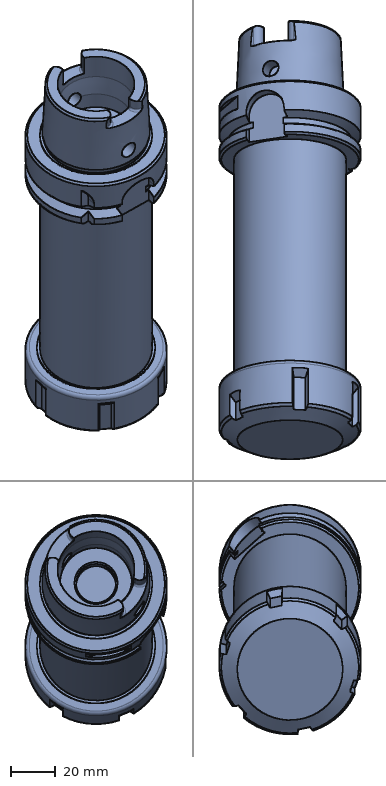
import cadquery as cq

total_height = 192.0
body_radius = 31.5
shank_radius = 25.0

nut_top = 26.0
nut_round = 1.7
nut_face_radius = 23.5
nut_cone_top = 3.8
nut_cone_radius = 30.5
nut_wall_bottom = 5.2
nut_recess_radius = 26.3
nut_recess_depth = 0.5

groove_count = 6
short_groove = 4
groove_floor_distance = 28.8
groove_floor_width = 5.2
groove_mouth_width = 7.3
groove_floor_top = 18.5
groove_mouth_top = 22.0
short_groove_drop = 7.0
groove_overshoot = 2.0

flange_bottom = 134.0
flange_top = 160.0
flange_chamfer = 1.0
gripper_radius = 27.5
gripper_mouth = (138.6, 145.5)
gripper_floor = (140.5, 143.2)
face_recess_radius = 25.0
face_recess_depth = 0.5

drive_slot_width = 18.0
drive_slot_floor = 26.5
drive_slot_top = 155.5

notch_corner = 20.2
notch_runout_start = 148.0
notch_runout_radius = 9.0
flat_distance = 29.8
flat_bottom = 150.1
flat_top = 156.0
flat_angle = 135

taper_base_radius = 24.0
taper_top_radius = 22.7
taper_rim_chamfer = 1.0
undercut_top = 161.9
undercut_radius = 23.5
bore_radius = 17.0
bore_throat_radius = 16.0
bore_cone_top = 179.5
bore_cone_bottom = 169.7
bore_floor = 161.3
coolant_radius = 9.6
coolant_chamfer = 0.8
coolant_depth = 5.8

keyway_width = 12.0
keyway_mouth_round = 3.5
keyway_mouth_start = 16.9
keyway_floor_round = 1.0
keyway_floors = {-1: 182.0, 1: 186.2}

cross_hole_radius = 3.75
cross_hole_height = 169.0

cut_reach = 38.4


def make_body():
    """Revolve the whole outer profile from the nut's face to the taper's rim."""
    nut_shoulder = body_radius - nut_round
    return (
        cq.Workplane("XZ")
        .moveTo(0, 0)
        .lineTo(nut_face_radius, 0)
        .lineTo(nut_cone_radius, nut_cone_top)
        .lineTo(body_radius, nut_wall_bottom)
        .lineTo(body_radius, nut_top - nut_round)
        .radiusArc((nut_shoulder, nut_top), -nut_round)
        .lineTo(nut_recess_radius, nut_top)
        .lineTo(nut_recess_radius, nut_top - nut_recess_depth)
        .lineTo(shank_radius, nut_top - nut_recess_depth)
        .lineTo(shank_radius, flange_bottom)
        .lineTo(body_radius - flange_chamfer, flange_bottom)
        .lineTo(body_radius, flange_bottom + flange_chamfer)
        .lineTo(body_radius, gripper_mouth[0])
        .lineTo(gripper_radius, gripper_floor[0])
        .lineTo(gripper_radius, gripper_floor[1])
        .lineTo(body_radius, gripper_mouth[1])
        .lineTo(body_radius, flange_top - flange_chamfer)
        .lineTo(body_radius - flange_chamfer, flange_top)
        .lineTo(face_recess_radius, flange_top)
        .lineTo(face_recess_radius, flange_top - face_recess_depth)
        .lineTo(undercut_radius, flange_top - face_recess_depth)
        .lineTo(undercut_radius, flange_top)
        .lineTo(taper_base_radius, undercut_top)
        .lineTo(taper_top_radius, total_height - taper_rim_chamfer)
        .lineTo(taper_top_radius - taper_rim_chamfer, total_height)
        .lineTo(0, total_height)
        .close()
        .revolve(360, (0, 0, 0), (0, 1, 0))
    )


def make_bore():
    """Stepped blind bore entering from the taper's rim."""
    return (
        cq.Workplane("XZ")
        .moveTo(0, bore_floor - coolant_depth)
        .lineTo(coolant_radius - coolant_chamfer, bore_floor - coolant_depth)
        .lineTo(coolant_radius - coolant_chamfer, bore_floor - coolant_chamfer)
        .lineTo(coolant_radius, bore_floor)
        .lineTo(bore_throat_radius, bore_floor)
        .lineTo(bore_throat_radius, bore_cone_bottom)
        .lineTo(bore_radius, bore_cone_top)
        .lineTo(bore_radius, total_height)
        .lineTo(0, total_height)
        .close()
        .revolve(360, (0, 0, 0), (0, 1, 0))
    )


def make_spanner_groove(drop):
    """Groove on the +X side whose side walls and upper end flare outwards."""
    def section(distance, width, top):
        return (
            cq.Workplane("YZ", origin=(distance, 0, top / 2))
            .rect(width, top)
            .wires()
            .val()
        )

    depth = body_radius - groove_floor_distance
    outer_width = groove_floor_width + groove_overshoot * (groove_mouth_width - groove_floor_width)
    outer_top = groove_floor_top + groove_overshoot * (groove_mouth_top - groove_floor_top)
    inner = section(groove_floor_distance, groove_floor_width, groove_floor_top - drop)
    outer = section(groove_floor_distance + groove_overshoot * depth, outer_width, outer_top - drop)
    return cq.Workplane(cq.Solid.makeLoft([inner, outer], True))


def make_drive_slot(side):
    """Flat-floored slot with a round upper end, open through the flange's underside."""
    half_width = drive_slot_width / 2
    spring_line = drive_slot_top - half_width
    return (
        cq.Workplane("YZ", origin=(side * drive_slot_floor, 0, 0))
        .moveTo(-half_width, flange_bottom)
        .lineTo(half_width, flange_bottom)
        .lineTo(half_width, spring_line)
        .threePointArc((0, drive_slot_top), (-half_width, spring_line))
        .close()
        .extrude(side * cut_reach)
    )


def make_notch():
    """Right-angled notch whose floor curves outwards at its upper end."""
    runout_end = notch_runout_start + notch_runout_radius
    return (
        cq.Workplane("YZ", origin=(notch_corner, 0, 0))
        .moveTo(-notch_corner, flange_bottom)
        .lineTo(-notch_corner, notch_runout_start)
        .radiusArc((-notch_corner - notch_runout_radius, runout_end), -notch_runout_radius)
        .lineTo(-cut_reach, runout_end)
        .lineTo(-cut_reach, flange_bottom)
        .close()
        .extrude(cut_reach)
    )


def make_flat():
    """Chordal flat on the outside of the flange."""
    height = flat_top - flat_bottom
    return (
        cq.Workplane("XY", origin=(0, 0, flat_bottom))
        .rect(cut_reach, 2 * cut_reach)
        .extrude(height)
        .translate((flat_distance + cut_reach / 2, 0, 0))
        .rotate((0, 0, 0), (0, 0, 1), flat_angle)
    )


def make_keyway(floor):
    """Keyway on the +X side with a rounded mouth and a filleted floor."""
    half_width = keyway_width / 2
    flare_x = keyway_mouth_start + keyway_mouth_round
    flare_y = half_width + keyway_mouth_round
    return (
        cq.Workplane("XY", origin=(0, 0, floor))
        .moveTo(0, -half_width)
        .lineTo(keyway_mouth_start, -half_width)
        .radiusArc((flare_x, -flare_y), keyway_mouth_round)
        .lineTo(flare_x, -cut_reach)
        .lineTo(cut_reach, -cut_reach)
        .lineTo(cut_reach, cut_reach)
        .lineTo(flare_x, cut_reach)
        .lineTo(flare_x, flare_y)
        .radiusArc((keyway_mouth_start, half_width), keyway_mouth_round)
        .lineTo(0, half_width)
        .close()
        .extrude(total_height - floor)
        .faces("<Z")
        .edges()
        .fillet(keyway_floor_round)
    )


def make_cross_hole():
    """Round hole along X through both walls of the hollow taper."""
    return (
        cq.Workplane("YZ", origin=(-cut_reach, 0, cross_hole_height))
        .circle(cross_hole_radius)
        .extrude(2 * cut_reach)
    )


result = make_body().cut(make_bore())

for index in range(groove_count):
    drop = short_groove_drop if index == short_groove else 0
    angle = -90 + index * 360 / groove_count
    groove = make_spanner_groove(drop).rotate((0, 0, 0), (0, 0, 1), angle)
    result = result.cut(groove)

for side, floor in keyway_floors.items():
    keyway = make_keyway(floor)
    if side < 0:
        keyway = keyway.rotate((0, 0, 0), (0, 0, 1), 180)
    result = result.cut(keyway).cut(make_drive_slot(side))

result = result.cut(make_notch()).cut(make_flat()).cut(make_cross_hole())